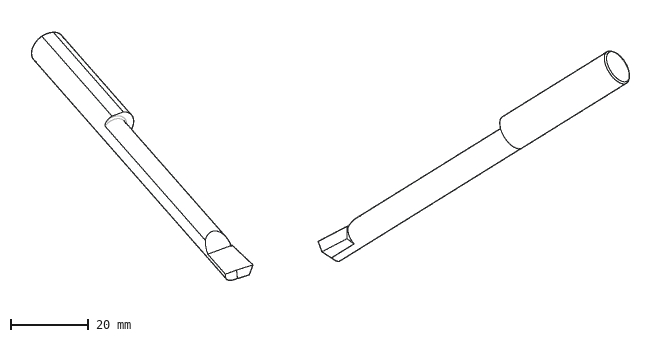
import cadquery as cq
import math

total_length = 101.6
shank_radius = 4.8
shank_length = 36.9
flat_height = 4.5
back_chamfer = 0.4

neck_diameter = 7.2
neck_radius = neck_diameter / 2
neck_edge_y = 2.1
neck_center_y = neck_edge_y - neck_radius
root_fillet = 0.5

ledge_start = 92.2
tooth_start_y = 2.4
tooth_tip_y = 3.3
end_face_lead = 0.3
relief_angle = 10.0
run_out_angle = 45.0


def bar(radius, start, end, center_y=0.0):
    """Round bar along X between two stations."""
    return cq.Workplane("YZ", origin=(start, center_y, 0)).circle(radius).extrude(end - start)


def make_shank():
    shank = bar(shank_radius, 0, shank_length).faces("<X").chamfer(back_chamfer)
    above_flat = (
        cq.Workplane("XY", origin=(0, 0, flat_height))
        .rect(2 * total_length, 2 * shank_radius)
        .extrude(shank_radius)
    )
    return shank.cut(above_flat)


def make_root_fillet():
    """Concave ring blending the neck into the shank's end face."""
    outer = neck_radius + root_fillet
    end = shank_length + root_fillet
    mid_offset = root_fillet * (1 - math.sqrt(0.5))
    return (
        cq.Workplane("XY", origin=(0, neck_center_y, 0))
        .moveTo(shank_length, 0)
        .lineTo(shank_length, outer)
        .threePointArc((shank_length + mid_offset, neck_radius + mid_offset), (end, neck_radius))
        .lineTo(end, 0)
        .close()
        .revolve(360, (0, 0, 0), (1, 0, 0))
    )


def make_tooth():
    """Ledge block whose tapered sides give clearance below the cutting edges."""
    return (
        cq.Workplane("XY")
        .moveTo(ledge_start, neck_center_y)
        .lineTo(ledge_start, tooth_start_y)
        .lineTo(total_length, tooth_tip_y)
        .lineTo(total_length - end_face_lead, neck_center_y)
        .close()
        .extrude(-neck_radius, taper=relief_angle)
    )


def make_ledge_cut():
    """Space above the ledge, ending in a sloped run-out up to the full neck."""
    height = 2 * neck_radius
    run = height / math.tan(math.radians(run_out_angle))
    return (
        cq.Workplane("XZ")
        .moveTo(ledge_start, 0)
        .lineTo(total_length, 0)
        .lineTo(total_length, height)
        .lineTo(ledge_start - run, height)
        .close()
        .extrude(shank_radius * 2, both=True)
    )


def make_end_relief():
    """Material beyond the end face, which leans back below its cutting edge."""
    lean = 2 * shank_radius * math.tan(math.radians(relief_angle))
    edge = total_length - end_face_lead
    return (
        cq.Workplane("XZ")
        .moveTo(edge, 0)
        .lineTo(edge - lean, -2 * shank_radius)
        .lineTo(2 * total_length, -2 * shank_radius)
        .lineTo(2 * total_length, 0)
        .close()
        .extrude(shank_radius * 2, both=True)
    )


neck = bar(neck_radius, shank_length, total_length, neck_center_y)
neck = neck.union(make_root_fillet())
neck = neck.intersect(bar(shank_radius, shank_length, total_length))
neck = neck.cut(make_ledge_cut()).cut(make_end_relief())

result = make_shank().union(neck).union(make_tooth())